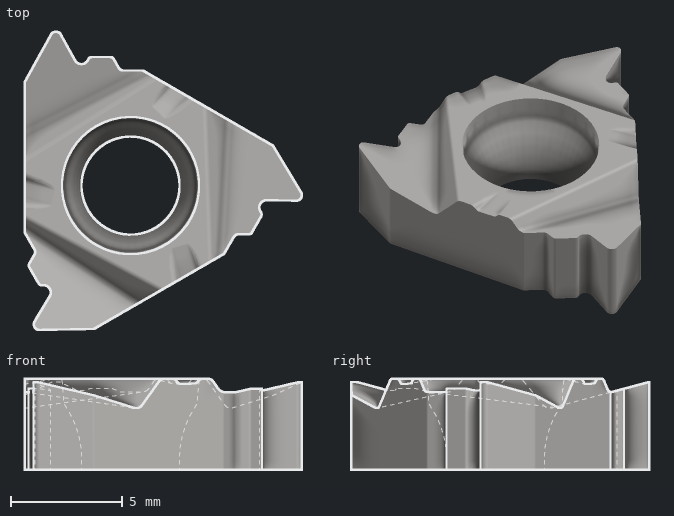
import cadquery as cq
import math

TEETH = 3
TURN = 360 / TEETH
THICKNESS = 4.1
FLAT_DISTANCE = 4.76

FLANK_ANGLE = 61
SHOULDER_ANGLE = 60
TIP_X = -3.35
TIP_Y = 6.66
TIP_RADIUS = 0.25
ROOT_RADIUS = 0.32
CREST_Y = 5.78
CREST_START_X = -1.84
CREST_END_X = -0.8
CREST_RADIUS = 0.16
LAND_Y = 5.18
LAND_RADIUS = 0.23
CORNER_RADIUS = 0.2

RAKE_ANGLE = 15
RAKE_BASE_Y = 4.64
RAKE_BASE_Z = 3.35
WALL_ANGLE = 55
WALL_TOP_DIRECTION = 32
WALL_TOP_DISTANCE = 3.51
GROOVE_RADIUS = 0.34
GROOVE_CUT_LENGTH = 10.73
WALL_TOP_RADIUS = 0.28

NOTCH_END_X = -3.47
NOTCH_END_Y = -0.55
NOTCH_TURN = 14
NOTCH_SLOPE = 10
NOTCH_FLOOR_WIDTH = 0.66
NOTCH_WALL_ANGLE = 48
NOTCH_FLOOR_RADIUS = 0.24
NOTCH_RIM_RADIUS = 0.3
NOTCH_RIM_SPAN = 1.07
EDGE_TOLERANCE = 0.01
NOTCH_CUT_HEIGHT = 0.8
NOTCH_CUT_LENGTH = 2.68

BORE_RADIUS = 2.2
RECESS_TOP_RADIUS = 3.08
RECESS_BOTTOM_RADIUS = 3.0
RECESS_DEPTH = 0.99
SEAT_TOP_RADIUS = 2.91
SEAT_TOP_DEPTH = 1.26
SEAT_ANGLE = 34


def cos(angle):
    return math.cos(math.radians(angle))


def sin(angle):
    return math.sin(math.radians(angle))


def tan(angle):
    return math.tan(math.radians(angle))


def turned(x, y, angle):
    """The point (x, y) turned about the bore axis."""
    return (x * cos(angle) - y * sin(angle), x * sin(angle) + y * cos(angle))


def tooth_corners():
    """Sharp corners (x, y, rounding radius) of one tooth, from its left side face clockwise."""
    apex_y = TIP_Y + TIP_RADIUS / cos(FLANK_ANGLE)
    heel_y = apex_y - (TIP_X + FLAT_DISTANCE) * tan(FLANK_ANGLE)
    flank_y_at_crest = apex_y - (CREST_START_X - TIP_X) * tan(FLANK_ANGLE)
    root_x = CREST_START_X + (flank_y_at_crest - CREST_Y) / (tan(FLANK_ANGLE) + tan(SHOULDER_ANGLE))
    root_y = apex_y - (root_x - TIP_X) * tan(FLANK_ANGLE)
    land_start_x = CREST_END_X + (CREST_Y - LAND_Y) / tan(SHOULDER_ANGLE)
    face_direction = 180 - TURN
    land_end_x = (FLAT_DISTANCE - LAND_Y * sin(face_direction)) / cos(face_direction)
    return [
        (-FLAT_DISTANCE, heel_y, CORNER_RADIUS),
        (TIP_X, apex_y, TIP_RADIUS),
        (root_x, root_y, ROOT_RADIUS),
        (CREST_START_X, CREST_Y, CREST_RADIUS),
        (CREST_END_X, CREST_Y, CREST_RADIUS),
        (land_start_x, LAND_Y, LAND_RADIUS),
        (land_end_x, LAND_Y, CORNER_RADIUS),
    ]


def rounded_outline(corners):
    """Closed wire through the corners, each replaced by a tangent arc."""
    wire = None
    for i, (x, y, radius) in enumerate(corners):
        corner = cq.Vector(x, y)
        before = cq.Vector(*corners[i - 1][:2])
        after = cq.Vector(*corners[(i + 1) % len(corners)][:2])
        back = (before - corner).normalized()
        ahead = (after - corner).normalized()
        half_angle = back.getAngle(ahead) / 2
        tangent = radius / math.tan(half_angle)
        bisector = (back + ahead).normalized()
        start = corner + back * tangent
        middle = corner + bisector * (radius / math.sin(half_angle) - radius)
        end = corner + ahead * tangent
        wire = wire.lineTo(start.x, start.y) if wire else cq.Workplane("XY").moveTo(start.x, start.y)
        wire = wire.threePointArc((middle.x, middle.y), (end.x, end.y))
    return wire.close()


def body():
    """Full-height prism of the three-tooth outline, its corners listed clockwise."""
    corners = []
    for i in range(TEETH):
        for x, y, radius in tooth_corners():
            corners.append((*turned(x, y, -i * TURN), radius))
    return rounded_outline(corners).extrude(THICKNESS)


def chip_groove():
    """Wedge above the rake face and outside the wall, rounded along the valley between them."""
    rake_normal = cq.Vector(0, -sin(RAKE_ANGLE), cos(RAKE_ANGLE))
    outward = cq.Vector(-sin(WALL_TOP_DIRECTION), cos(WALL_TOP_DIRECTION), 0)
    up = cq.Vector(0, 0, 1)
    wall_normal = outward * sin(WALL_ANGLE) + up * cos(WALL_ANGLE)
    valley = wall_normal.cross(rake_normal).normalized()
    along_rake = rake_normal.cross(valley)
    along_wall = valley.cross(wall_normal)

    wall_top = outward * WALL_TOP_DISTANCE + up * THICKNESS
    rake_point = cq.Vector(0, RAKE_BASE_Y, RAKE_BASE_Z)
    drop = (rake_point - wall_top).dot(rake_normal) / along_wall.dot(rake_normal)
    origin = wall_top + along_wall * drop

    plane = cq.Plane(origin=origin, xDir=along_rake, normal=valley)
    rake_end = cq.Vector(GROOVE_CUT_LENGTH, 0)
    wall_end = plane.toLocalCoords(origin + along_wall * GROOVE_CUT_LENGTH)
    far_corner = rake_end + wall_end
    wedge = [(0, 0), (rake_end.x, 0), (far_corner.x, far_corner.y), (wall_end.x, wall_end.y)]
    return (
        cq.Workplane(plane)
        .polyline(wedge)
        .close()
        .extrude(GROOVE_CUT_LENGTH, both=True)
        .edges(cq.selectors.NearestToPointSelector(origin.toTuple()))
        .fillet(GROOVE_RADIUS)
    )


def grip_notch():
    """Shallow trapezoid channel whose floor rises inward and runs out in the top face."""
    plan_direction = cq.Vector(-cos(NOTCH_TURN), sin(NOTCH_TURN), 0)
    outward = plan_direction * cos(NOTCH_SLOPE) - cq.Vector(0, 0, sin(NOTCH_SLOPE))
    across = cq.Vector(-sin(NOTCH_TURN), -cos(NOTCH_TURN), 0)
    plane = cq.Plane(origin=(NOTCH_END_X, NOTCH_END_Y, THICKNESS), xDir=across, normal=outward)
    floor_half = NOTCH_FLOOR_WIDTH / 2 + NOTCH_FLOOR_RADIUS * tan(NOTCH_WALL_ANGLE / 2)
    top_half = floor_half + NOTCH_CUT_HEIGHT / tan(NOTCH_WALL_ANGLE)
    section = [
        (-floor_half, 0),
        (floor_half, 0),
        (top_half, NOTCH_CUT_HEIGHT),
        (-top_half, NOTCH_CUT_HEIGHT),
    ]
    channel = cq.Workplane(plane).polyline(section).close().extrude(NOTCH_CUT_LENGTH)
    for side in (-1, 1):
        middle = plane.toWorldCoords((side * floor_half, 0, NOTCH_CUT_LENGTH / 2))
        floor_edge = cq.selectors.NearestToPointSelector(middle.toTuple())
        channel = channel.edges(floor_edge).fillet(NOTCH_FLOOR_RADIUS)
    return channel


def notch_rim(part):
    """The notch's edges in the top face, all close to where its floor runs out."""
    near_notch = cq.selectors.BoxSelector(
        (-FLAT_DISTANCE + EDGE_TOLERANCE, NOTCH_END_Y - NOTCH_RIM_SPAN, THICKNESS - EDGE_TOLERANCE),
        (NOTCH_END_X + EDGE_TOLERANCE, NOTCH_END_Y + NOTCH_RIM_SPAN, THICKNESS + EDGE_TOLERANCE),
    )
    return part.faces(">Z").edges(near_notch)


def bore():
    """Revolved space of the screw hole, from the top face down."""
    half = SEAT_ANGLE / 2
    seat_curve = (SEAT_TOP_RADIUS - BORE_RADIUS) / (1 - cos(SEAT_ANGLE))
    seat_bottom_z = THICKNESS - SEAT_TOP_DEPTH - seat_curve * sin(SEAT_ANGLE)
    seat_middle = (BORE_RADIUS + seat_curve * (1 - cos(half)), seat_bottom_z + seat_curve * sin(half))
    seat_top = (SEAT_TOP_RADIUS, THICKNESS - SEAT_TOP_DEPTH)
    return (
        cq.Workplane("XZ")
        .moveTo(0, 0)
        .lineTo(BORE_RADIUS, 0)
        .lineTo(BORE_RADIUS, seat_bottom_z)
        .threePointArc(seat_middle, seat_top)
        .tangentArcPoint((RECESS_BOTTOM_RADIUS, THICKNESS - RECESS_DEPTH), relative=False)
        .lineTo(RECESS_TOP_RADIUS, THICKNESS)
        .lineTo(0, THICKNESS)
        .close()
        .revolve(360, (0, 0, 0), (0, 1, 0))
    )


wall_top = turned(0, WALL_TOP_DISTANCE, WALL_TOP_DIRECTION)
wall_top_edge = cq.selectors.NearestToPointSelector((*wall_top, THICKNESS))

result = body()
for _ in range(TEETH):
    result = result.cut(chip_groove())
    result = result.faces(">Z").edges(wall_top_edge).fillet(WALL_TOP_RADIUS)
    result = result.cut(grip_notch())
    result = notch_rim(result).fillet(NOTCH_RIM_RADIUS)
    result = result.rotate((0, 0, 0), (0, 0, 1), TURN)
result = result.cut(bore())